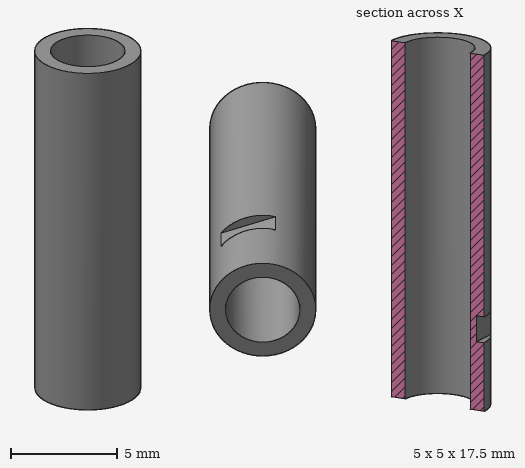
import cadquery as cq

length = 17.5
outer_diameter = 5.0
bore_diameter = 3.5

notch_bottom = 3.38
notch_height = 1.26
notch_depth = 0.4

outer_radius = outer_diameter / 2
notch_floor_y = outer_radius - notch_depth

tube = (
    cq.Workplane("XY")
    .circle(outer_radius)
    .circle(bore_diameter / 2)
    .extrude(length)
)

notch = (
    cq.Workplane("XY")
    .box(outer_diameter, notch_depth, notch_height, centered=(True, False, False))
    .translate((0, notch_floor_y, notch_bottom))
)

result = tube.cut(notch)